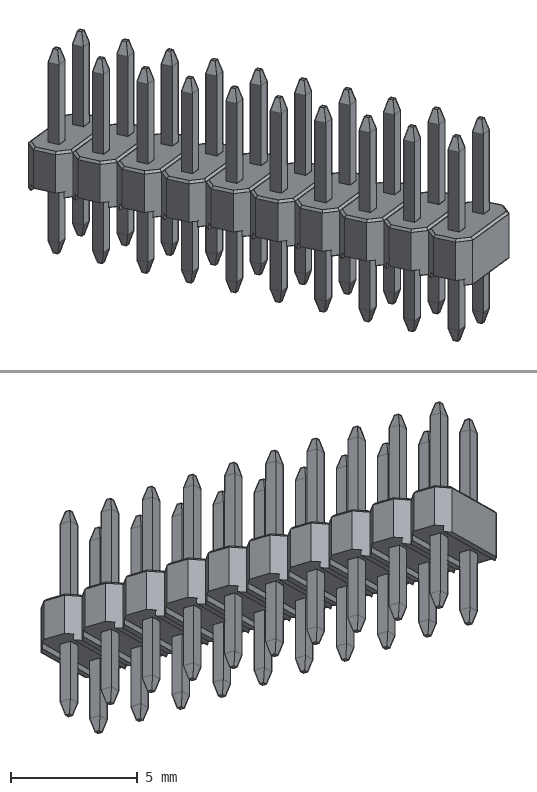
import cadquery as cq

unit_count = 10
pitch = 2.0

block_length = pitch
block_width = 2 * pitch
block_height = 2.0
corner_cut = 0.5
top_chamfer = 0.1

foot_length = corner_cut / 2
channel_width = block_length - 2 * foot_length
channel_depth = foot_length

pin_size = 0.5
pin_above = 4.0
pin_below = 2.8
tip_height = 0.55
tip_size = 0.2


def make_block():
    """Octagonal block with a chamfered top and a channel along Y in its underside."""
    body = (
        cq.Workplane("XY")
        .rect(block_length, block_width)
        .extrude(block_height)
        .edges("|Z")
        .chamfer(corner_cut)
        .faces(">Z")
        .chamfer(top_chamfer)
    )
    channel = cq.Workplane("XY").rect(channel_width, block_width).extrude(channel_depth)
    return body.cut(channel)


def make_tip(base_z, end_z):
    """Pyramid frustum that narrows from the pin section at base_z to the flat at end_z."""
    return (
        cq.Workplane("XY", origin=(0, 0, base_z))
        .rect(pin_size, pin_size)
        .workplane(offset=end_z - base_z)
        .rect(tip_size, tip_size)
        .loft(ruled=True)
    )


def make_pin():
    """Square pin on the Z axis that passes through the block and tapers at both ends."""
    bottom = -pin_below
    top = block_height + pin_above
    shank_bottom = bottom + tip_height
    shank_top = top - tip_height
    shank = (
        cq.Workplane("XY", origin=(0, 0, shank_bottom))
        .rect(pin_size, pin_size)
        .extrude(shank_top - shank_bottom)
    )
    return shank.union(make_tip(shank_bottom, bottom)).union(make_tip(shank_top, top))


def make_contact_unit(x):
    """One solid unit at x: a block and its two pins, one pitch apart in Y."""
    unit = make_block()
    pin = make_pin()
    for y in (-pitch / 2, pitch / 2):
        unit = unit.union(pin.translate((0, y, 0)))
    return unit.translate((x, 0, 0))


first_x = -pitch * (unit_count - 1) / 2
contact_units = [make_contact_unit(first_x + i * pitch) for i in range(unit_count)]

result = cq.Compound.makeCompound([unit.solids().val() for unit in contact_units])